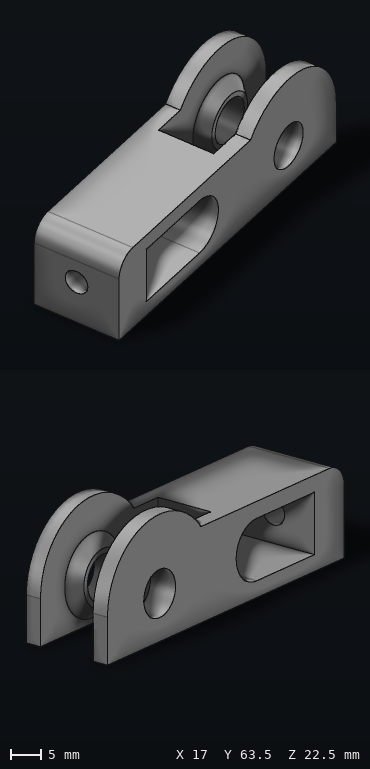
import cadquery as cq

width = 17.0
bar_height = 17.0
axis_height = bar_height / 2
nose_radius = 4.0

eye_radius = 14.0
pivot_y = 49.5
pivot_hole_diameter = 8.5
cheek_thickness = 3.0
fork_gap = width - 2 * cheek_thickness
fork_floor_y = 32.0

boss_base_diameter = 15.0
boss_height = 2.25
boss_tip_diameter = boss_base_diameter - 2 * boss_height

window_height = 11.0
window_front_y = 8.0
window_back_y = 29.0

screw_hole_diameter = 4.5


def cylinder_along_x(diameter, y):
    """Cylinder across the whole width, at the height of the part axis."""
    return (
        cq.Workplane("YZ", origin=(-width / 2, y, axis_height))
        .circle(diameter / 2)
        .extrude(width)
    )


def box_from(size_x, y_start, y_end, z_start, z_end):
    """Box centred on X between the given Y and Z limits."""
    size_y = y_end - y_start
    size_z = z_end - z_start
    start = cq.Workplane("XY", origin=(0, y_start, z_start))
    return start.box(size_x, size_y, size_z, centered=(True, False, False))


def make_body():
    bar = box_from(width, 0, pivot_y, 0, bar_height)
    bar = bar.faces("<Y").edges(">Z").fillet(nose_radius)
    eye_foot = box_from(width, pivot_y, pivot_y + eye_radius, 0, axis_height)
    eye = cylinder_along_x(2 * eye_radius, pivot_y)
    below_base = box_from(width, 0, pivot_y + eye_radius, -eye_radius, 0)
    return bar.union(eye_foot).union(eye).cut(below_base)


def make_fork_slot():
    return box_from(fork_gap, fork_floor_y, pivot_y + eye_radius, 0, axis_height + eye_radius)


def make_boss():
    """Conical boss on the inner face of the -X cheek."""
    profile = [
        (0, 0),
        (boss_base_diameter / 2, 0),
        (boss_tip_diameter / 2, boss_height),
        (0, boss_height),
    ]
    cone = cq.Workplane("XZ").polyline(profile).close().revolve(360, (0, 0), (0, 1))
    return cone.rotate((0, 0, 0), (0, 1, 0), 90).translate((-fork_gap / 2, pivot_y, axis_height))


def make_window():
    round_end_y = window_back_y - window_height / 2
    straight = box_from(
        width,
        window_front_y,
        round_end_y,
        axis_height - window_height / 2,
        axis_height + window_height / 2,
    )
    return straight.union(cylinder_along_x(window_height, round_end_y))


def make_screw_hole():
    return (
        cq.Workplane("XZ", origin=(0, 0, axis_height))
        .circle(screw_hole_diameter / 2)
        .extrude(-window_front_y)
    )


boss = make_boss()
result = make_body().cut(make_fork_slot())
result = result.union(boss).union(boss.mirror("YZ"))
result = result.cut(cylinder_along_x(pivot_hole_diameter, pivot_y))
result = result.cut(make_window()).cut(make_screw_hole())